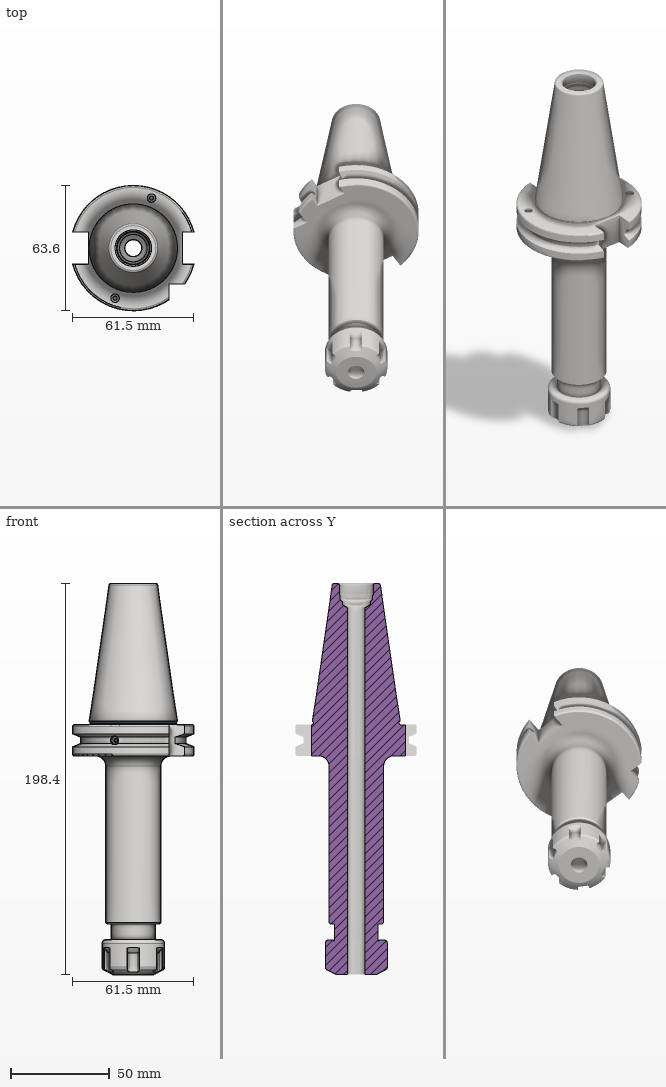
import cadquery as cq
import math

TAPER_LENGTH = 68.4
GAUGE_TO_NOSE = 130.0
FLANGE_TOP_Z = -3.2
FLANGE_BOTTOM_Z = -19.1
SHANK_END_Z = -104.3
NUT_TOP_Z = -112.2
NOSE_Z = -GAUGE_TO_NOSE

GAUGE_RADIUS = 44.45 / 2
TAPER_SLOPE = 7 / 48
TAPER_TOP_RADIUS = GAUGE_RADIUS - TAPER_SLOPE * TAPER_LENGTH
TAPER_TOP_FILLET = 1.0
UNDERCUT_TOP_Z = -1.3
UNDERCUT_DEPTH = 0.5

FLANGE_RADIUS = 63.55 / 2
FLANGE_EDGE_FILLET = 1.0
GROOVE_Z = -11.15
GROOVE_FLOOR_RADIUS = 27.9
GROOVE_MOUTH_WIDTH = 6.6
GROOVE_FLOOR_WIDTH = 3.2

DRIVE_SLOT_WIDTH = 16.1
DRIVE_SLOT_LEFT_X = -22.8
DRIVE_SLOT_RIGHT_X = 25.0
NOTCH_X = 18.2
NOTCH_Y = -18.2

COOLANT_ANGLES = (70, 250)
COOLANT_CIRCLE_RADIUS = 27.0
COOLANT_DIAMETER = 4.3
COOLANT_DEPTH = 2.0
SOCKET_DIAMETER = 2.0
SOCKET_DEPTH = 1.5
HOLE_OVERRUN = 1.0

SHANK_RADIUS = 14.0
SHANK_ROOT_FILLET = 5.0
SHANK_END_CHAMFER = 0.8
NECK_RADIUS = 11.2

NUT_RADIUS = 15.85
NUT_TOP_FILLET = 1.8
NUT_RECESS_RADIUS = 12.0
NUT_RECESS_DEPTH = 0.5
RIM_TOLERANCE = 0.1
NUT_CONE_ANGLE = 27.5
NUT_FACE_RADIUS = 10.2
NUT_CONE_FILLET = 1.5
NUT_SLOT_COUNT = 6
NUT_SLOT_WIDTH = 5.8
NUT_SLOT_FLOOR_FILLET = 0.8
NUT_SLOT_FLOOR_RADIUS = 13.0
NUT_SLOT_MOUTH_CHAMFER = 0.6
NUT_SLOT_TOP_Z = -116.1

BORE_RADIUS = 8.5
BORE_ENTRY_CHAMFER = 0.75
BORE_DEPTH = 5.8
PILOT_RADIUS = 8.2
PILOT_DEPTH = 8.0
THREAD_RADIUS = 7.0
THREAD_LENGTH = 1.5
CONE_DEPTH = 1.7
THROUGH_RADIUS = 4.25


def revolve(points):
    """Solid of revolution about Z from (radius, z) points, swept from the -Y side."""
    outline = [(-radius, z) for radius, z in points]
    return cq.Workplane("YZ").polyline(outline).close().revolve(360, (0, 0, 0), (0, 1, 0))


def make_taper():
    taper_base_radius = GAUGE_RADIUS - TAPER_SLOPE * UNDERCUT_TOP_Z
    undercut_radius = taper_base_radius - UNDERCUT_DEPTH
    taper = revolve([
        (0, TAPER_LENGTH),
        (TAPER_TOP_RADIUS, TAPER_LENGTH),
        (taper_base_radius, UNDERCUT_TOP_Z),
        (undercut_radius, UNDERCUT_TOP_Z - UNDERCUT_DEPTH),
        (undercut_radius, FLANGE_TOP_Z + UNDERCUT_DEPTH),
        (taper_base_radius, FLANGE_TOP_Z),
        (0, FLANGE_TOP_Z),
    ])
    return taper.faces(">Z").edges().fillet(TAPER_TOP_FILLET)


def make_flange():
    height = FLANGE_TOP_Z - FLANGE_BOTTOM_Z
    flange = (
        cq.Workplane("XY", origin=(0, 0, FLANGE_BOTTOM_Z))
        .circle(FLANGE_RADIUS)
        .extrude(height)
        .edges()
        .fillet(FLANGE_EDGE_FILLET)
    )
    groove = revolve([
        (FLANGE_RADIUS, GROOVE_Z + GROOVE_MOUTH_WIDTH / 2),
        (GROOVE_FLOOR_RADIUS, GROOVE_Z + GROOVE_FLOOR_WIDTH / 2),
        (GROOVE_FLOOR_RADIUS, GROOVE_Z - GROOVE_FLOOR_WIDTH / 2),
        (FLANGE_RADIUS, GROOVE_Z - GROOVE_MOUTH_WIDTH / 2),
    ])
    flange = flange.cut(groove)

    cut_z = (FLANGE_TOP_Z + FLANGE_BOTTOM_Z) / 2
    reach = FLANGE_RADIUS
    for floor_x, side in ((DRIVE_SLOT_LEFT_X, -1), (DRIVE_SLOT_RIGHT_X, 1)):
        slot = cq.Workplane("XY").box(reach, DRIVE_SLOT_WIDTH, height)
        flange = flange.cut(slot.translate((floor_x + side * reach / 2, 0, cut_z)))
    notch = cq.Workplane("XY").box(reach, reach, height)
    flange = flange.cut(notch.translate((NOTCH_X + reach / 2, NOTCH_Y - reach / 2, cut_z)))
    return flange


def blind_hole(center, inward):
    """Cutter for a flat-bottomed screw hole with a narrower socket in its floor."""
    seat_start = center - inward * HOLE_OVERRUN
    seat = cq.Solid.makeCylinder(COOLANT_DIAMETER / 2, HOLE_OVERRUN + COOLANT_DEPTH, seat_start, inward)
    socket = cq.Solid.makeCylinder(SOCKET_DIAMETER / 2, COOLANT_DEPTH + SOCKET_DEPTH, center, inward)
    return cq.Workplane(seat).union(cq.Workplane(socket))


def cut_coolant_holes(body):
    down = cq.Vector(0, 0, -1)
    for angle in COOLANT_ANGLES:
        outward = cq.Vector(math.cos(math.radians(angle)), math.sin(math.radians(angle)), 0)
        face_center = outward * COOLANT_CIRCLE_RADIUS + cq.Vector(0, 0, FLANGE_TOP_Z)
        groove_center = outward * GROOVE_FLOOR_RADIUS + cq.Vector(0, 0, GROOVE_Z)
        body = body.cut(blind_hole(face_center, down))
        body = body.cut(blind_hole(groove_center, outward * -1))
    return body


def make_shank():
    """Shank with its concave root fillet, end chamfer and the neck that enters the nut."""
    root_z = FLANGE_BOTTOM_Z - SHANK_ROOT_FILLET
    arc_center_y = -(SHANK_RADIUS + SHANK_ROOT_FILLET)
    diagonal = SHANK_ROOT_FILLET * math.sqrt(0.5)
    profile = (
        cq.Workplane("YZ")
        .moveTo(0, FLANGE_BOTTOM_Z)
        .lineTo(arc_center_y, FLANGE_BOTTOM_Z)
        .threePointArc((arc_center_y + diagonal, root_z + diagonal), (-SHANK_RADIUS, root_z))
        .lineTo(-SHANK_RADIUS, SHANK_END_Z + SHANK_END_CHAMFER)
        .lineTo(-SHANK_RADIUS + SHANK_END_CHAMFER, SHANK_END_Z)
        .lineTo(-NECK_RADIUS, SHANK_END_Z)
        .lineTo(-NECK_RADIUS, NUT_TOP_Z - NUT_RECESS_DEPTH)
        .lineTo(0, NUT_TOP_Z - NUT_RECESS_DEPTH)
        .close()
    )
    return profile.revolve(360, (0, 0, 0), (0, 1, 0))


def make_nut_slot():
    """Cutter on the +X side: filleted floor, chamfered mouth and a 45 degree upper end."""
    wall_radius = NUT_RADIUS - NUT_SLOT_MOUTH_CHAMFER
    outer_radius = NUT_RADIUS + NUT_SLOT_MOUTH_CHAMFER
    half_width = NUT_SLOT_WIDTH / 2
    half_outer = half_width + 2 * NUT_SLOT_MOUTH_CHAMFER
    channel = (
        cq.Workplane("XY", origin=(0, 0, NOSE_Z))
        .polyline([
            (NUT_SLOT_FLOOR_RADIUS, -half_width),
            (wall_radius, -half_width),
            (outer_radius, -half_outer),
            (outer_radius, half_outer),
            (wall_radius, half_width),
            (NUT_SLOT_FLOOR_RADIUS, half_width),
        ])
        .close()
        .extrude(NUT_TOP_Z - NOSE_Z)
        .faces("<X")
        .edges("|Z")
        .fillet(NUT_SLOT_FLOOR_FILLET)
    )
    side_shape = (
        cq.Workplane("XZ")
        .polyline([
            (NUT_SLOT_FLOOR_RADIUS, NOSE_Z),
            (NUT_SLOT_FLOOR_RADIUS, NUT_SLOT_TOP_Z - (NUT_RADIUS - NUT_SLOT_FLOOR_RADIUS)),
            (outer_radius, NUT_SLOT_TOP_Z + NUT_SLOT_MOUTH_CHAMFER),
            (outer_radius, NOSE_Z),
        ])
        .close()
        .extrude(half_outer, both=True)
    )
    return channel.intersect(side_shape)


def fillet_rim(nut, rim_z, radius):
    """Round the outer circular edge of the nut at height rim_z."""
    rim = cq.selectors.RadiusNthSelector(-1)
    ring = nut.edges(cq.selectors.BoxSelector(
        (-2 * NUT_RADIUS, -2 * NUT_RADIUS, rim_z - RIM_TOLERANCE),
        (2 * NUT_RADIUS, 2 * NUT_RADIUS, rim_z + RIM_TOLERANCE),
        boundingbox=True,
    ))
    return ring.edges(rim).fillet(radius)


def make_nut():
    cone_height = (NUT_RADIUS - NUT_FACE_RADIUS) * math.tan(math.radians(NUT_CONE_ANGLE))
    cone_z = NOSE_Z + cone_height
    recess_z = NUT_TOP_Z - NUT_RECESS_DEPTH
    nut = revolve([
        (0, recess_z),
        (NECK_RADIUS, recess_z),
        (NUT_RECESS_RADIUS, NUT_TOP_Z),
        (NUT_RADIUS, NUT_TOP_Z),
        (NUT_RADIUS, cone_z),
        (NUT_FACE_RADIUS, NOSE_Z),
        (0, NOSE_Z),
    ])
    nut = fillet_rim(nut, NUT_TOP_Z, NUT_TOP_FILLET)
    nut = fillet_rim(nut, cone_z, NUT_CONE_FILLET)
    slot = make_nut_slot()
    for index in range(NUT_SLOT_COUNT):
        angle = 90 + index * 360 / NUT_SLOT_COUNT
        nut = nut.cut(slot.rotate((0, 0, 0), (0, 0, 1), angle))
    return nut


def make_bore():
    pilot_chamfer = BORE_RADIUS - PILOT_RADIUS
    bore_floor_z = TAPER_LENGTH - BORE_DEPTH
    pilot_floor_z = TAPER_LENGTH - PILOT_DEPTH
    thread_top_z = pilot_floor_z - (PILOT_RADIUS - THREAD_RADIUS)
    thread_end_z = thread_top_z - THREAD_LENGTH
    return revolve([
        (0, TAPER_LENGTH),
        (BORE_RADIUS + BORE_ENTRY_CHAMFER, TAPER_LENGTH),
        (BORE_RADIUS, TAPER_LENGTH - BORE_ENTRY_CHAMFER),
        (BORE_RADIUS, bore_floor_z),
        (PILOT_RADIUS, bore_floor_z - pilot_chamfer),
        (PILOT_RADIUS, pilot_floor_z),
        (THREAD_RADIUS, thread_top_z),
        (THREAD_RADIUS, thread_end_z),
        (THROUGH_RADIUS, thread_end_z - CONE_DEPTH),
        (THROUGH_RADIUS, NOSE_Z),
        (0, NOSE_Z),
    ])


body = make_taper().union(make_flange()).union(make_shank()).union(make_nut())
body = cut_coolant_holes(body)
result = body.cut(make_bore())